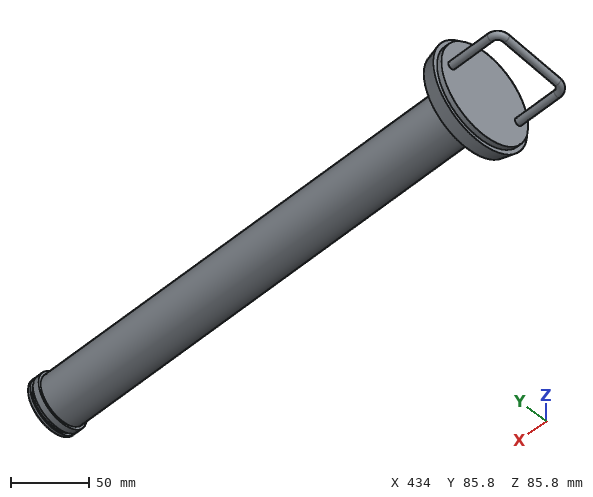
import cadquery as cq
import math

overall_length = 434.0

rod_diameter = 6.0
handle_reach = 45.0
handle_spacing = 61.0
bend_radius = 7.0
handle_tilt = 6.0

step_diameter = 79.0
step_length = 4.0
rim_diameter = 85.78
rim_back_diameter = 80.0
flange_thickness = 15.5

tube_diameter = 40.0
collar_diameter = 44.0
groove_diameter = 40.5
collar_length = 5.0
groove_width = 2.5
end_ring_length = 2.5
end_chamfer = 0.5

tube_end = overall_length - handle_reach
groove_end = tube_end - end_ring_length
groove_start = groove_end - groove_width
collar_start = groove_start - collar_length


def make_body():
    """Revolve the flange, the tube and the grooved end about the X axis."""
    profile = (
        cq.Workplane("XY")
        .moveTo(0, 0)
        .lineTo(0, step_diameter / 2)
        .lineTo(step_length, step_diameter / 2)
        .lineTo(step_length, rim_diameter / 2)
        .lineTo(flange_thickness, rim_back_diameter / 2)
        .lineTo(flange_thickness, tube_diameter / 2)
        .lineTo(collar_start, tube_diameter / 2)
        .lineTo(collar_start, collar_diameter / 2)
        .lineTo(groove_start, collar_diameter / 2)
        .lineTo(groove_start, groove_diameter / 2)
        .lineTo(groove_end, groove_diameter / 2)
        .lineTo(groove_end, collar_diameter / 2)
        .lineTo(tube_end - end_chamfer, collar_diameter / 2)
        .lineTo(tube_end, collar_diameter / 2 - end_chamfer)
        .lineTo(tube_end, 0)
        .close()
    )
    return profile.revolve(360, (0, 0, 0), (1, 0, 0))


def make_handle():
    """Sweep the rod along its U-shaped centreline, then tilt it about X."""
    half_spacing = handle_spacing / 2
    grip_x = rod_diameter / 2 - handle_reach
    bend_start_x = grip_x + bend_radius
    bend_end_y = half_spacing - bend_radius
    bend_inset = bend_radius * (1 - math.sqrt(0.5))
    rod_end_x = step_length / 2
    centreline = (
        cq.Workplane("XY")
        .moveTo(rod_end_x, half_spacing)
        .lineTo(bend_start_x, half_spacing)
        .threePointArc((grip_x + bend_inset, half_spacing - bend_inset), (grip_x, bend_end_y))
        .lineTo(grip_x, -bend_end_y)
        .threePointArc((grip_x + bend_inset, bend_inset - half_spacing), (bend_start_x, -half_spacing))
        .lineTo(rod_end_x, -half_spacing)
    )
    rod_section = cq.Workplane("YZ", origin=(rod_end_x, half_spacing, 0)).circle(rod_diameter / 2)
    return rod_section.sweep(centreline).rotate((0, 0, 0), (1, 0, 0), handle_tilt)


result = make_body().union(make_handle())